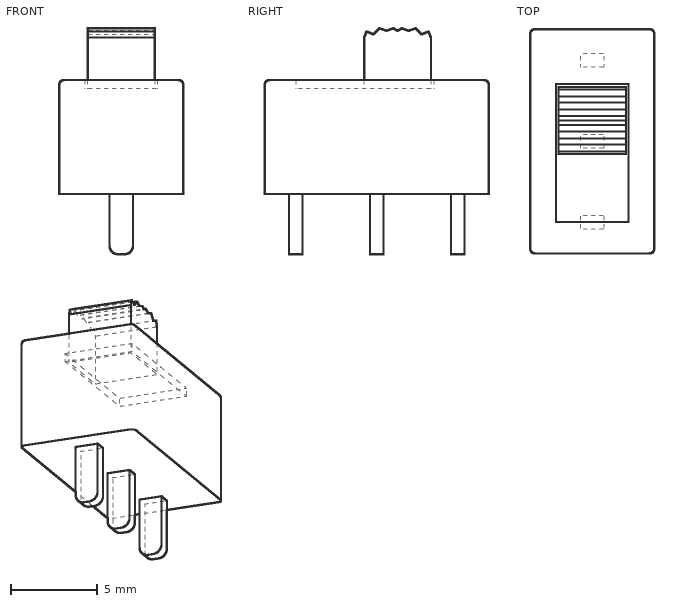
import cadquery as cq

total_height = 13.1
body_width = 7.2
body_length = 13.0

pin_length = 3.5
slider_height = 3.0
body_height = total_height - pin_length - slider_height
edge_radius = 0.29

window_width = 4.22
window_length = 7.99
window_depth = 0.5
window_center_y = -0.67

slider_width = 3.9
slider_center_y = 1.2

grip_half_profile = [
    (1.94, 0.54),
    (1.8, 0.18),
    (1.4, 0.35),
    (1.05, 0.0),
    (0.64, 0.15),
    (0.25, 0.0),
]
middle_groove_depth = 0.15

pin_width = 1.39
pin_thickness = 0.8
pin_pitch = 4.69
pin_tip_radius = 0.52


def make_body():
    """Box with rounded vertical and top edges and a sharp underside."""
    body = cq.Workplane("XY").box(body_width, body_length, body_height, centered=(True, True, False))
    body = body.edges("|Z or >Z").fillet(edge_radius)
    window = (
        cq.Workplane("XY", origin=(0, window_center_y, body_height - window_depth))
        .rect(window_width, window_length)
        .extrude(window_depth)
    )
    return body.cut(window)


def make_slider():
    """Block with a symmetric ridged top, extruded across X."""
    floor_z = body_height - window_depth
    top_z = body_height + slider_height
    half_length = grip_half_profile[0][0]

    left_grip = [(-offset, top_z - drop) for offset, drop in grip_half_profile]
    right_grip = [(offset, top_z - drop) for offset, drop in reversed(grip_half_profile)]
    middle_groove = [(0, top_z - middle_groove_depth)]
    outline = [(-half_length, floor_z)] + left_grip + middle_groove + right_grip + [(half_length, floor_z)]

    return (
        cq.Workplane("YZ", origin=(0, slider_center_y, 0))
        .polyline(outline)
        .close()
        .extrude(slider_width / 2, both=True)
    )


def make_pin(center_y):
    """Flat terminal hanging from the underside, with rounded tip corners."""
    return (
        cq.Workplane("XY", origin=(0, center_y, -pin_length))
        .rect(pin_width, pin_thickness)
        .extrude(pin_length)
        .edges("<Z and |Y")
        .fillet(pin_tip_radius)
    )


result = make_body().union(make_slider())
for row_position in (-1, 0, 1):
    result = result.union(make_pin(row_position * pin_pitch))